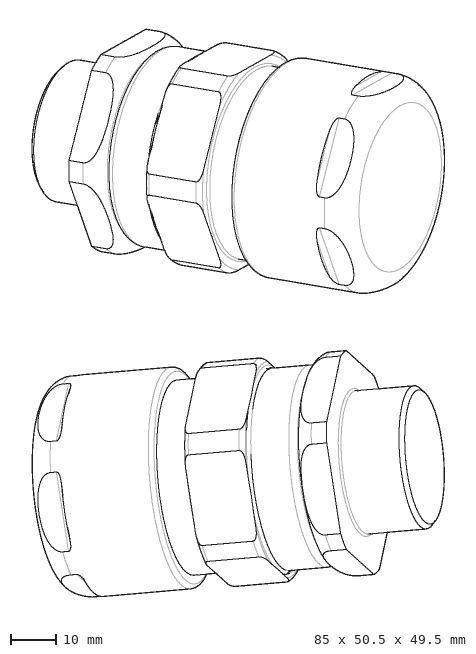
import cadquery as cq
import math

total_length = 85.0

hex_sides = 6
across_flats = 46.0
across_corners = 50.5

root_fillet = 0.5

spigot_diameter = 32.0
spigot_length = 15.0
spigot_chamfer = 1.0
flange_thickness = 7.6
flange_round = 4.0
shoulder_diameter = 39.45
shoulder_length = 0.5

sleeve_diameter = 45.15
sleeve_round = 1.5
hex_start = 34.2
hex_length = 14.0
hex_round = 1.1
sleeve_fillet = 0.8
neck_diameter = 43.5

cap_diameter = 49.5
cap_start = 55.5
cap_inner_round = 1.0
cap_outer_round = 5.7
cap_flat_start = 76.95
cap_flat_fillet = 1.0

flange_end = spigot_length + flange_thickness
body_start = flange_end + shoulder_length
hex_end = hex_start + hex_length

half_arc = math.sqrt(0.5)


def quarter_arc(outline, x_center, r_center, radius, mid_direction, end_direction):
    """Adds a 90 degree arc about (x_center, r_center) to a profile of x and radial distance."""
    middle = (
        x_center + mid_direction[0] * radius * half_arc,
        r_center + mid_direction[1] * radius * half_arc,
    )
    end = (
        x_center + end_direction[0] * radius,
        r_center + end_direction[1] * radius,
    )
    return outline.threePointArc(middle, end)


def revolve_about_x(outline):
    """Closes a half profile along the X axis and turns it into a solid."""
    return outline.close().revolve(360, (0, 0, 0), (1, 0, 0))


def cut_flats(solid, start, length, start_fillet=0):
    """Cuts six flats, with an optional fillet where each one meets the wall at its start."""
    cutter_width = 2 * across_corners
    cutter_height = across_corners / 2
    cutter = cq.Workplane("XY").box(
        length, cutter_width, cutter_height, centered=(False, True, False)
    )
    if start_fillet:
        cutter = cutter.edges("<X and <Z").fillet(start_fillet)
    cutter = cutter.translate((start, 0, across_flats / 2))
    for side in range(hex_sides):
        angle = side * 360 / hex_sides
        solid = solid.cut(cutter.rotate((0, 0, 0), (1, 0, 0), angle))
    return solid


def make_entry_adapter():
    spigot_radius = spigot_diameter / 2
    corner_radius = across_corners / 2
    shoulder_radius = shoulder_diameter / 2
    outline = (
        cq.Workplane("XY")
        .lineTo(0, spigot_radius - spigot_chamfer)
        .lineTo(spigot_chamfer, spigot_radius)
        .lineTo(spigot_length - root_fillet, spigot_radius)
    )
    outline = quarter_arc(
        outline, spigot_length - root_fillet, spigot_radius + root_fillet, root_fillet, (1, -1), (1, 0)
    )
    outline = outline.lineTo(spigot_length, corner_radius).lineTo(flange_end - flange_round, corner_radius)
    outline = quarter_arc(
        outline, flange_end - flange_round, corner_radius - flange_round, flange_round, (1, 1), (1, 0)
    )
    outline = (
        outline.lineTo(flange_end, shoulder_radius)
        .lineTo(body_start, shoulder_radius)
        .lineTo(body_start, 0)
    )
    return cut_flats(revolve_about_x(outline), spigot_length, flange_thickness)


def make_gland_body():
    sleeve_radius = sleeve_diameter / 2
    corner_radius = across_corners / 2
    neck_radius = neck_diameter / 2
    outline = (
        cq.Workplane("XY")
        .moveTo(body_start, 0)
        .lineTo(body_start, sleeve_radius - sleeve_round)
    )
    outline = quarter_arc(
        outline, body_start + sleeve_round, sleeve_radius - sleeve_round, sleeve_round, (-1, 1), (0, 1)
    )
    outline = outline.lineTo(hex_start - sleeve_fillet, sleeve_radius)
    outline = quarter_arc(
        outline, hex_start - sleeve_fillet, sleeve_radius + sleeve_fillet, sleeve_fillet, (1, -1), (1, 0)
    )
    outline = outline.lineTo(hex_start, corner_radius - hex_round)
    outline = quarter_arc(
        outline, hex_start + hex_round, corner_radius - hex_round, hex_round, (-1, 1), (0, 1)
    )
    outline = outline.lineTo(hex_end - hex_round, corner_radius)
    outline = quarter_arc(outline, hex_end - hex_round, corner_radius - hex_round, hex_round, (1, 1), (1, 0))
    outline = outline.lineTo(hex_end, neck_radius + root_fillet)
    outline = quarter_arc(
        outline, hex_end + root_fillet, neck_radius + root_fillet, root_fillet, (-1, -1), (0, -1)
    )
    outline = outline.lineTo(cap_start, neck_radius).lineTo(cap_start, 0)
    flats_start = hex_start - sleeve_fillet
    return cut_flats(revolve_about_x(outline), flats_start, hex_end - flats_start)


def make_cap_nut():
    cap = (
        cq.Workplane("YZ")
        .workplane(offset=cap_start)
        .circle(cap_diameter / 2)
        .extrude(total_length - cap_start)
    )
    cap = cap.edges("<X").fillet(cap_inner_round)
    cap = cap.edges(">X").fillet(cap_outer_round)
    return cut_flats(cap, cap_flat_start, total_length - cap_flat_start, cap_flat_fillet)


entry_adapter = make_entry_adapter()
gland_body = make_gland_body()
cap_nut = make_cap_nut()

result = cq.Compound.makeCompound([entry_adapter.val(), gland_body.val(), cap_nut.val()])